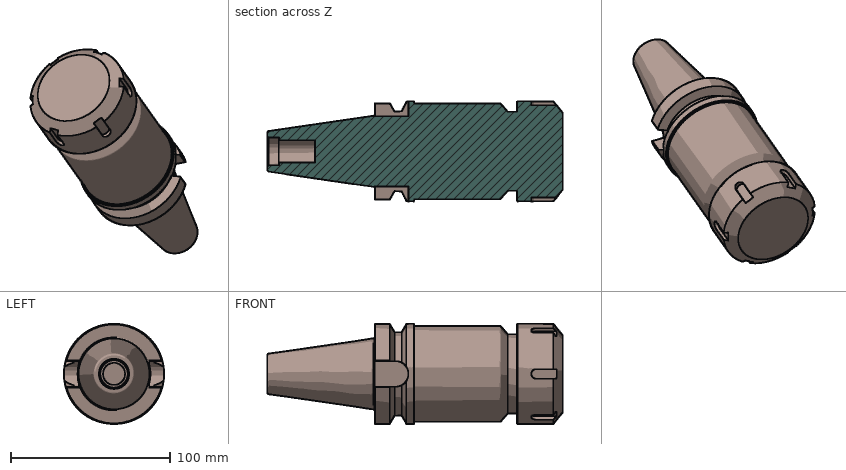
import cadquery as cq
import math

gauge_diameter = 44.45
taper_ratio = 7 / 24
shank_length = 65.4
shank_end_fillet = 1.5
taper_small_diameter = gauge_diameter - taper_ratio * shank_length

counterbore_diameter = 17.15
counterbore_mouth_diameter = 19.0
counterbore_depth = 7.3
thread_bore_diameter = 13.84
thread_bore_depth = 30.0

flange_diameter = 63.0
flange_start = 2.0
flange_end = 27.0
flange_edge_chamfer = 0.5
flange_root_fillet = 0.7
groove_center = 16.75
groove_floor_width = 4.5
groove_diameter = 52.6
groove_wall_angle = 30

drive_slot_width = 16.1
drive_slot_edge_chamfer = 0.5
drive_slot_floor = 22.1
drive_slot_end = 23.2

body_diameter = 60.33
body_end = 80.9
neck_diameter = 50.0
body_cone_length = 4.6
body_edge_fillet = 1.0

nut_diameter = 62.99
nut_start = 91.3
nut_rear_chamfer = 0.5
nut_cone_start = 114.2
nose_end = 120.1
nose_diameter = 48.2

spanner_slot_count = 6
spanner_slot_width = 6.0
spanner_slot_start = 100.3
spanner_slot_floor = 29.0


def make_turned_body():
    groove_wall = (flange_diameter - groove_diameter) / 2 * math.tan(math.radians(groove_wall_angle))
    groove_floor_start = groove_center - groove_floor_width / 2
    groove_floor_end = groove_center + groove_floor_width / 2
    flange_radius = flange_diameter / 2
    flange_edge_radius = flange_radius - flange_edge_chamfer
    profile = [
        (-shank_length, 0),
        (-shank_length, taper_small_diameter / 2),
        (0, gauge_diameter / 2),
        (flange_start, gauge_diameter / 2),
        (flange_start, flange_edge_radius),
        (flange_start + flange_edge_chamfer, flange_radius),
        (groove_floor_start - groove_wall, flange_radius),
        (groove_floor_start, groove_diameter / 2),
        (groove_floor_end, groove_diameter / 2),
        (groove_floor_end + groove_wall, flange_radius),
        (flange_end - flange_edge_chamfer, flange_radius),
        (flange_end, flange_edge_radius),
        (flange_end, body_diameter / 2),
        (body_end, body_diameter / 2),
        (body_end + body_cone_length, neck_diameter / 2),
        (nut_start, neck_diameter / 2),
        (nut_start, nut_diameter / 2 - nut_rear_chamfer),
        (nut_start + nut_rear_chamfer, nut_diameter / 2),
        (nut_cone_start, nut_diameter / 2),
        (nose_end, nose_diameter / 2),
        (nose_end, 0),
    ]
    turned = cq.Workplane("XY").polyline(profile).close().revolve(360, (0, 0, 0), (1, 0, 0))
    turned = turned.faces("<X").edges().fillet(shank_end_fillet)
    body_edge = cq.selectors.BoxSelector(
        (body_end - body_edge_fillet, -body_diameter, -body_diameter),
        (body_end + body_edge_fillet, body_diameter, body_diameter),
    )
    turned = turned.edges(body_edge).edges("%CIRCLE").fillet(body_edge_fillet)
    rear_face_point = (flange_start, 0, (gauge_diameter + flange_diameter) / 4)
    rear_face = turned.faces(cq.selectors.NearestToPointSelector(rear_face_point))
    flange_root = rear_face.edges(cq.selectors.RadiusNthSelector(0))
    return flange_root.fillet(flange_root_fillet)


def make_pull_stud_bore():
    mouth_chamfer = (counterbore_mouth_diameter - counterbore_diameter) / 2
    profile = [
        (-shank_length, 0),
        (-shank_length, counterbore_mouth_diameter / 2),
        (-shank_length + mouth_chamfer, counterbore_diameter / 2),
        (-shank_length + counterbore_depth, counterbore_diameter / 2),
        (-shank_length + counterbore_depth, thread_bore_diameter / 2),
        (-shank_length + thread_bore_depth, thread_bore_diameter / 2),
        (-shank_length + thread_bore_depth, 0),
    ]
    return cq.Workplane("XY").polyline(profile).close().revolve(360, (0, 0, 0), (1, 0, 0))


def make_round_end_slot(open_end, round_end, width, floor_radius, outer_radius):
    """Cutter on the -Y side, square at open_end and with a full round at round_end."""
    half_width = width / 2
    direction = math.copysign(1, round_end - open_end)
    arc_center = round_end - direction * half_width
    return (
        cq.Workplane("XZ", origin=(0, -floor_radius, 0))
        .moveTo(open_end, -half_width)
        .lineTo(arc_center, -half_width)
        .threePointArc((round_end, 0), (arc_center, half_width))
        .lineTo(open_end, half_width)
        .close()
        .extrude(outer_radius - floor_radius)
    )


def cut_around_axis(solid, cutter, count):
    for index in range(count):
        solid = solid.cut(cutter.rotate((0, 0, 0), (1, 0, 0), index * 360 / count))
    return solid


def make_drive_slot_edge_breaks():
    """Wedges that chamfer the -Y drive slot on the rear face and the rim of the rear flange."""
    half_width = drive_slot_width / 2
    wide_half_width = half_width + drive_slot_edge_chamfer
    rim_edge = math.sqrt((flange_diameter / 2) ** 2 - half_width**2)
    rim_inner = rim_edge - drive_slot_edge_chamfer
    rim_outer = flange_diameter / 2
    flared_half_width = half_width + rim_outer - rim_inner
    rim_wedge = (
        cq.Workplane("YZ", origin=(flange_start, 0, 0))
        .polyline([
            (-rim_inner, -half_width),
            (-rim_inner, half_width),
            (-rim_outer, flared_half_width),
            (-rim_outer, -flared_half_width),
        ])
        .close()
        .extrude(groove_center - flange_start)
    )
    face_wedge = (
        cq.Workplane("XZ", origin=(0, -drive_slot_floor, 0))
        .polyline([
            (flange_start, -wide_half_width),
            (flange_start, wide_half_width),
            (flange_start + drive_slot_edge_chamfer, half_width),
            (flange_start + drive_slot_edge_chamfer, -half_width),
        ])
        .close()
        .extrude(rim_outer - drive_slot_floor)
    )
    return rim_wedge.union(face_wedge)


drive_slot = make_round_end_slot(
    flange_start, drive_slot_end, drive_slot_width, drive_slot_floor, flange_diameter / 2
)
spanner_slot = make_round_end_slot(
    nose_end, spanner_slot_start, spanner_slot_width, spanner_slot_floor, nut_diameter / 2
)

result = make_turned_body().cut(make_pull_stud_bore())
result = cut_around_axis(result, drive_slot, 2)
result = cut_around_axis(result, make_drive_slot_edge_breaks(), 2)
result = cut_around_axis(result, spanner_slot, spanner_slot_count)